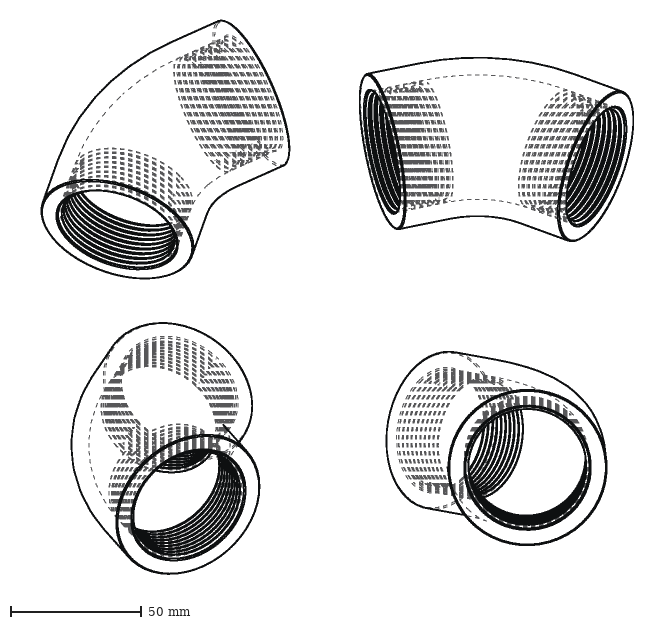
import cadquery as cq
import math

outer_radius = 30.5
bore_radius = 47.8 / 2
bend_angle = 45.0
bend_radius = 56.8
socket_length = 21.3
rim_chamfer = 0.5

thread_count = 9
thread_length = socket_length - rim_chamfer
thread_pitch = thread_length / thread_count
root_radius = bore_radius - 0.1
crest_radius = 22.7
crest_width = 0.6
root_width = 0.4

mouth_y = -48.9
bend_start_y = mouth_y + socket_length
pipe_x = -41.8 + outer_radius
bend_centre = (pipe_x + bend_radius, bend_start_y, 0)


def bend_section(radius):
    """Curved solid rod that follows the bend."""
    return (
        cq.Workplane("XZ", origin=(pipe_x, bend_start_y, 0))
        .circle(radius)
        .revolve(bend_angle, (bend_radius, 0, 0), (bend_radius, -1, 0))
    )


def revolve_about_pipe(outline):
    """Turn a (radius, depth from the mouth) outline around the first pipe axis."""
    return (
        cq.Workplane("XY", origin=(pipe_x, mouth_y, 0))
        .polyline(outline)
        .close()
        .revolve(360, (0, 0, 0), (0, 1, 0))
    )


def place_at_far_end(body):
    """Mirror a first-socket body across the bisecting plane of the bend."""
    half_angle = math.radians(bend_angle / 2)
    normal = cq.Vector(math.sin(half_angle), math.cos(half_angle), 0)
    return body.mirror(normal, bend_centre)


def make_socket():
    """Straight pipe end with a chamfered rim and bore."""
    return revolve_about_pipe([
        (bore_radius + rim_chamfer, 0),
        (outer_radius - rim_chamfer, 0),
        (outer_radius, rim_chamfer),
        (outer_radius, socket_length),
        (bore_radius, socket_length),
        (bore_radius, rim_chamfer),
    ])


def make_elbow():
    """Curved pipe with a straight socket at each end."""
    bend = bend_section(outer_radius).cut(bend_section(bore_radius))
    socket = make_socket()
    return bend.union(socket).union(place_at_far_end(socket))


def make_thread_liner():
    """Sleeve lining one socket, with a row of ring ridges on its inside."""
    flank_run = (thread_pitch - crest_width - root_width) / 2
    outline = [(bore_radius, rim_chamfer), (root_radius, rim_chamfer)]
    for ridge in range(thread_count):
        ridge_start = rim_chamfer + ridge * thread_pitch + root_width / 2
        crest_start = ridge_start + flank_run
        crest_end = crest_start + crest_width
        outline += [
            (root_radius, ridge_start),
            (crest_radius, crest_start),
            (crest_radius, crest_end),
            (root_radius, crest_end + flank_run),
        ]
    outline += [(root_radius, socket_length), (bore_radius, socket_length)]
    return revolve_about_pipe(outline)


elbow = make_elbow()

first_liner = make_thread_liner()
thread_liners = []
for liner in (first_liner, place_at_far_end(first_liner)):
    thread_liners.append(liner.val())

result = cq.Compound.makeCompound([elbow.val(), *thread_liners])